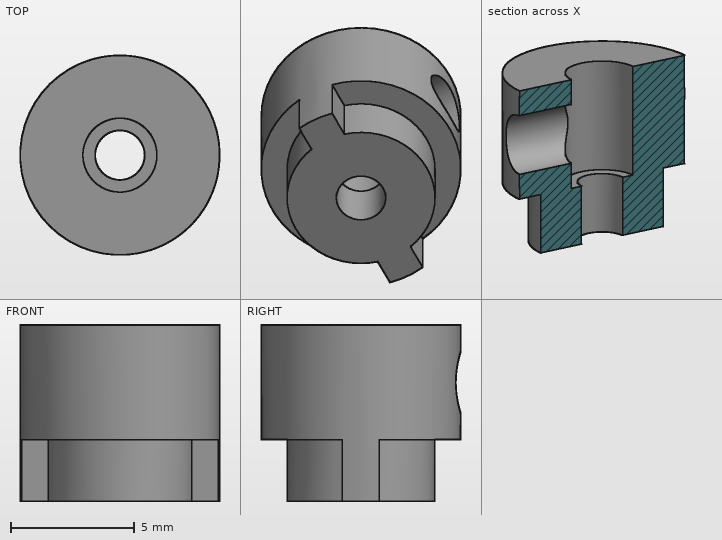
import cadquery as cq

body_diameter = 8.1
body_height = 4.65
hub_diameter = 6.0
hub_height = 2.5
key_width = 1.5
through_hole_diameter = 2.0
shaft_bore_diameter = 3.0
screw_hole_diameter = 2.5

total_height = hub_height + body_height
screw_hole_height = hub_height + body_height / 2


def cylinder(diameter, bottom, height):
    """Upright cylinder on the part axis, starting at the height `bottom`."""
    return cq.Workplane("XY").workplane(offset=bottom).circle(diameter / 2).extrude(height)


def drive_keys():
    """Two opposed keys along X, rounded off flush with the body's side."""
    bar_length = 2 * body_diameter
    bar = cq.Workplane("XY").box(bar_length, key_width, hub_height, centered=(True, True, False))
    return bar.intersect(cylinder(body_diameter, 0, hub_height))


def screw_hole():
    """Radial hole from the axis out through the +Y side, at mid-height of the body."""
    return (
        cq.Workplane("XZ")
        .center(0, screw_hole_height)
        .circle(screw_hole_diameter / 2)
        .extrude(-body_diameter)
    )


body = cylinder(body_diameter, hub_height, body_height)
hub = cylinder(hub_diameter, 0, hub_height)
through_hole = cylinder(through_hole_diameter, 0, total_height)
shaft_bore = cylinder(shaft_bore_diameter, hub_height, body_height)

result = (
    body.union(hub)
    .union(drive_keys())
    .cut(through_hole)
    .cut(shaft_bore)
    .cut(screw_hole())
)